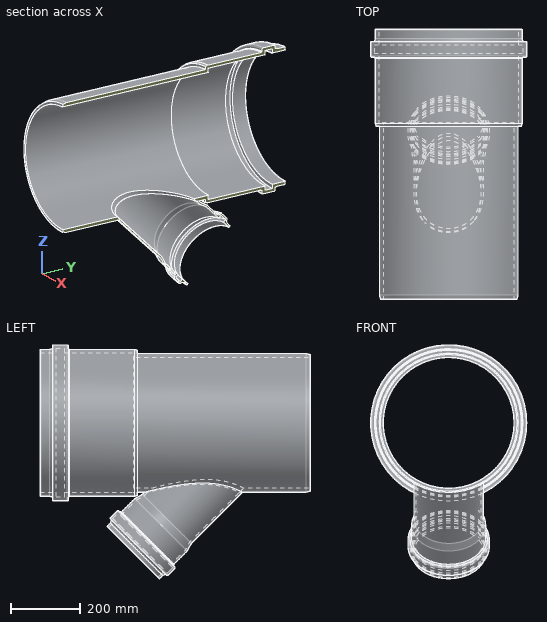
import cadquery as cq

MAIN_TURN = -90.0
BRANCH_TURN = -135.0

MAIN_LENGTH = 778.0
MAIN_OUTER_D = 400.0
MAIN_BORE_D = 376.0
SPIGOT_BEVEL_LENGTH = 12.5
SPIGOT_BEVEL_DEPTH = 3.35

MAIN_SOCKET_D = 423.9
MAIN_SOCKET_BORE_D = 401.7
MAIN_NECK_D = 427.7
MAIN_COLLAR_D = 449.9
MAIN_SOCKET_START = 498.0
MAIN_COLLAR_BASE = 693.5
MAIN_COLLAR_START = 696.5
MAIN_COLLAR_END = 743.0
MAIN_LIP_START = 751.0
MAIN_COLLAR_ROUND = 3.5
MAIN_SHOULDER_BEVEL_LENGTH = 8.0
MAIN_SHOULDER_BEVEL_DEPTH = 3.0
MAIN_LIP_ROUND = 2.5

BRANCH_POSITION = 136.7
BRANCH_LENGTH = 528.1
BRANCH_OUTER_D = 200.2
BRANCH_BORE_D = 187.2

BRANCH_SOCKET_D = 213.6
BRANCH_SOCKET_BORE_D = 201.8
BRANCH_NECK_D = 223.0
BRANCH_COLLAR_D = 234.8
BRANCH_CONE_START = 390.5
BRANCH_CONE_END = 415.0
BRANCH_COLLAR_BASE = 469.0
BRANCH_COLLAR_START = 472.5
BRANCH_COLLAR_END = 506.0
BRANCH_LIP_START = 514.5
BRANCH_COLLAR_ROUND = 3.0


def cylinder(diameter, start, end):
    return cq.Workplane("XY").workplane(offset=start).circle(diameter / 2).extrude(end - start)


def cone(start_diameter, end_diameter, start, end):
    profile = [
        (0, start),
        (start_diameter / 2, start),
        (end_diameter / 2, end),
        (0, end),
    ]
    return cq.Workplane("XZ").polyline(profile).close().revolve(360, (0, 0), (0, 1))


def collar_with_necks(collar_d, neck_d, socket_d, base, start, end, lip_start, edge_round):
    """Rounded bead around a socket, with a conical neck on either side."""
    collar = cylinder(collar_d, start, end).edges().fillet(edge_round)
    base_neck = cone(socket_d, neck_d, base, start)
    lip_neck = cone(neck_d, socket_d, end, lip_start)
    return collar.union(base_neck).union(lip_neck)


def seal_groove(groove_d, start, end, wall):
    """Hollow inside a collar that keeps the socket wall thickness."""
    return cylinder(groove_d, start + wall, end - wall)


def main_outside():
    bevel_d = MAIN_OUTER_D - 2 * SPIGOT_BEVEL_DEPTH
    spigot = cone(bevel_d, MAIN_OUTER_D, 0, SPIGOT_BEVEL_LENGTH)
    pipe = cylinder(MAIN_OUTER_D, SPIGOT_BEVEL_LENGTH, MAIN_SOCKET_START)
    bevel_end = MAIN_SOCKET_START + MAIN_SHOULDER_BEVEL_LENGTH
    shoulder_d = MAIN_SOCKET_D - 2 * MAIN_SHOULDER_BEVEL_DEPTH
    shoulder = cone(shoulder_d, MAIN_SOCKET_D, MAIN_SOCKET_START, bevel_end)
    socket = cylinder(MAIN_SOCKET_D, bevel_end, MAIN_LENGTH)
    socket = socket.faces(">Z").edges().fillet(MAIN_LIP_ROUND)
    collar = collar_with_necks(
        MAIN_COLLAR_D, MAIN_NECK_D, MAIN_SOCKET_D,
        MAIN_COLLAR_BASE, MAIN_COLLAR_START, MAIN_COLLAR_END, MAIN_LIP_START, MAIN_COLLAR_ROUND,
    )
    return spigot.union(pipe).union(shoulder).union(socket).union(collar)


def main_inside():
    wall = (MAIN_SOCKET_D - MAIN_SOCKET_BORE_D) / 2
    bore = cylinder(MAIN_BORE_D, 0, MAIN_LENGTH)
    socket_bore = cylinder(MAIN_SOCKET_BORE_D, MAIN_SOCKET_START + wall, MAIN_LENGTH)
    groove = seal_groove(MAIN_NECK_D, MAIN_COLLAR_START, MAIN_COLLAR_END, wall)
    return bore.union(socket_bore).union(groove)


def branch_outside():
    pipe = cylinder(BRANCH_OUTER_D, 0, BRANCH_CONE_START)
    widening = cone(BRANCH_OUTER_D, BRANCH_SOCKET_D, BRANCH_CONE_START, BRANCH_CONE_END)
    socket = cylinder(BRANCH_SOCKET_D, BRANCH_CONE_END, BRANCH_LENGTH)
    collar = collar_with_necks(
        BRANCH_COLLAR_D, BRANCH_NECK_D, BRANCH_SOCKET_D,
        BRANCH_COLLAR_BASE, BRANCH_COLLAR_START, BRANCH_COLLAR_END, BRANCH_LIP_START, BRANCH_COLLAR_ROUND,
    )
    return pipe.union(widening).union(socket).union(collar)


def branch_inside():
    wall = (BRANCH_SOCKET_D - BRANCH_SOCKET_BORE_D) / 2
    bore = cylinder(BRANCH_BORE_D, 0, BRANCH_CONE_START)
    widening = cone(BRANCH_BORE_D, BRANCH_SOCKET_BORE_D, BRANCH_CONE_START, BRANCH_CONE_END)
    socket_bore = cylinder(BRANCH_SOCKET_BORE_D, BRANCH_CONE_END, BRANCH_LENGTH)
    groove = seal_groove(BRANCH_NECK_D, BRANCH_COLLAR_START, BRANCH_COLLAR_END, wall)
    return bore.union(widening).union(socket_bore).union(groove)


def place_main(shape):
    return shape.rotate((0, 0, 0), (1, 0, 0), MAIN_TURN)


def place_branch(shape):
    return shape.rotate((0, 0, 0), (1, 0, 0), BRANCH_TURN).translate((0, BRANCH_POSITION, 0))


branch_opening = place_branch(branch_inside())

main_pipe = place_main(main_outside().cut(main_inside())).cut(branch_opening)

main_envelope = place_main(cylinder(MAIN_OUTER_D, 0, MAIN_LENGTH))
branch_pipe = place_branch(branch_outside()).cut(branch_opening).cut(main_envelope)

result = cq.Compound.makeCompound([main_pipe.val(), branch_pipe.val()])